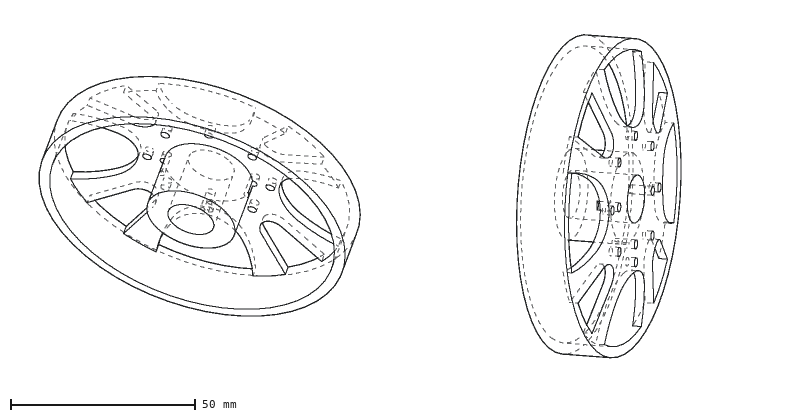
import cadquery as cq
import math

rim_radius = 43.45
rim_inner_radius = 40.4
rim_width = 14.0

hub_radius = 12.5
bore_radius = 6.5
flange_radius = 19.7
web_thickness = 2.5
hub_front = -1.0
overall_depth = 18.9
hub_back = hub_front + overall_depth

hole_radius = 1.2
bolt_circle_radius = 17.5
bolt_count = 8
hub_hole_depth = 6.5
hub_hole_angles = (0, 180, 270)

window_count = 4
window_floor = 20.0
window_floor_arc_radius = 11.5
window_side_arc_radius = 29.0
window_half_width = 13.8

slot_end_centre = 26.8
slot_end_radius = 4.2
slot_half_angle = math.radians(13)


def ring(outer_radius, inner_radius, front, back):
    """Tube about Y between two Y positions."""
    plane = cq.Workplane("XZ", origin=(0, front, 0))
    return plane.circle(outer_radius).circle(inner_radius).extrude(front - back)


def face_plane(angle, y):
    """Plane at height y along the axis, with its local Y pointing outward at an angle from +X."""
    start = cq.Workplane("XZ", origin=(0, y, 0))
    return start.transformed(rotate=(0, 0, angle - 90))


def make_web():
    profile = [
        (bore_radius, hub_back),
        (flange_radius, hub_back),
        (rim_inner_radius, rim_width),
        (rim_inner_radius, rim_width - web_thickness),
        (flange_radius, hub_back - web_thickness),
        (bore_radius, hub_back - web_thickness),
    ]
    return cq.Workplane("XY").polyline(profile).close().revolve(360, (0, 0), (0, 1))


def make_window(angle):
    """Floor arc tangent to two larger side arcs, which become parallel sides at the rim."""
    floor_centre = window_floor + window_floor_arc_radius
    side_centre_x = window_half_width - window_side_arc_radius
    centre_distance = window_side_arc_radius - window_floor_arc_radius
    side_centre_y = floor_centre + math.sqrt(centre_distance**2 - side_centre_x**2)

    tangent_angle = math.atan2(floor_centre - side_centre_y, -side_centre_x)
    tangent_x = window_floor_arc_radius * math.cos(tangent_angle)
    tangent_y = floor_centre + window_floor_arc_radius * math.sin(tangent_angle)
    side_middle_x = side_centre_x + window_side_arc_radius * math.cos(tangent_angle / 2)
    side_middle_y = side_centre_y + window_side_arc_radius * math.sin(tangent_angle / 2)

    return (
        face_plane(angle, hub_front)
        .moveTo(-window_half_width, rim_radius)
        .lineTo(-window_half_width, side_centre_y)
        .threePointArc((-side_middle_x, side_middle_y), (-tangent_x, tangent_y))
        .threePointArc((0, window_floor), (tangent_x, tangent_y))
        .threePointArc((side_middle_x, side_middle_y), (window_half_width, side_centre_y))
        .lineTo(window_half_width, rim_radius)
        .close()
        .extrude(-overall_depth)
    )


def make_slot(angle):
    tangent_x = slot_end_radius * math.cos(slot_half_angle)
    tangent_y = slot_end_centre - slot_end_radius * math.sin(slot_half_angle)
    mouth_x = tangent_x + (rim_radius - tangent_y) * math.tan(slot_half_angle)
    return (
        face_plane(angle, hub_front)
        .moveTo(-mouth_x, rim_radius)
        .lineTo(-tangent_x, tangent_y)
        .threePointArc((0, slot_end_centre - slot_end_radius), (tangent_x, tangent_y))
        .lineTo(mouth_x, rim_radius)
        .close()
        .extrude(-overall_depth)
    )


def make_back_hole(angle, circle_radius, depth):
    """Drill of the given depth entering from the back of the flange."""
    return face_plane(angle, hub_back).center(0, circle_radius).circle(hole_radius).extrude(depth)


web = make_web()
window_pitch = 360 / window_count
for i in range(window_count):
    web = web.cut(make_window(i * window_pitch))
    web = web.cut(make_slot((i + 0.5) * window_pitch))

rim = ring(rim_radius, rim_inner_radius, 0, rim_width)
hub = ring(hub_radius, bore_radius, hub_front, hub_back)
wheel = web.union(hub).union(rim)

for i in range(bolt_count):
    wheel = wheel.cut(make_back_hole(i * 360 / bolt_count, bolt_circle_radius, web_thickness))
for hole_angle in hub_hole_angles:
    wheel = wheel.cut(make_back_hole(hole_angle, hub_radius, hub_hole_depth))

result = wheel